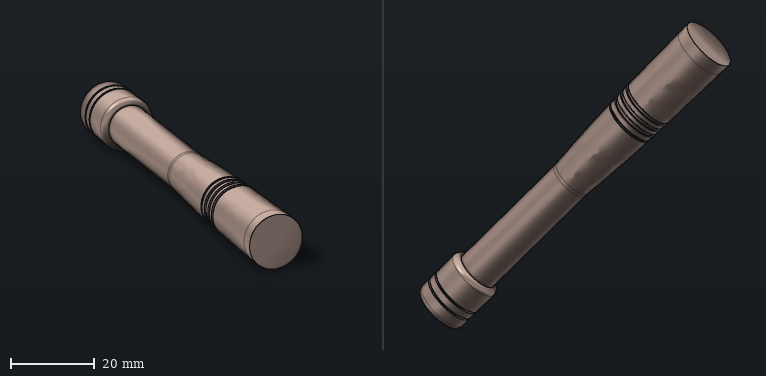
import cadquery as cq
import math

total_length = 97.0
full_radius = 7.0

head_length = 14.0
head_radius = 6.85
head_fillet = 1.4

shaft_radius = 5.25
shaft_blend_radius = 11.0
front_arc_radius = 400.0
rear_arc_radius = 1500.0
joint_x = 70.25
joint_radius = 6.53
end_band_length = 3.2

groove_floor_radius = 6.1
narrow_groove_width = 0.5
wide_groove_width = 0.9
head_groove_starts = (3.95, 6.25)
grip_groove_start = 68.5
grip_groove_pitch = 2.05
wide_groove_count = 3


def arc_point(center_x, center_z, radius, tilt):
    """Point where an arc climbs along X at the tilt angle; a negative radius makes it concave."""
    return (center_x - radius * math.sin(tilt), center_z + radius * math.cos(tilt))


def turned_body():
    """Revolve the outer profile without grooves; Z of the profile is the radius."""
    grip_end = total_length - end_band_length

    chord_run = grip_end - joint_x
    chord_rise = full_radius - joint_radius
    chord_tilt = math.atan2(chord_rise, chord_run)
    half_sweep = math.asin(math.hypot(chord_run, chord_rise) / (2 * rear_arc_radius))
    joint_tilt = chord_tilt + half_sweep
    rear_center_x = joint_x + rear_arc_radius * math.sin(joint_tilt)
    rear_center_z = joint_radius - rear_arc_radius * math.cos(joint_tilt)
    rear_middle = arc_point(rear_center_x, rear_center_z, rear_arc_radius, chord_tilt)

    front_center_x = joint_x + front_arc_radius * math.sin(joint_tilt)
    front_center_z = joint_radius - front_arc_radius * math.cos(joint_tilt)

    blend_center_z = shaft_radius + shaft_blend_radius
    rise = blend_center_z - front_center_z
    blend_tilt = math.acos(rise / (front_arc_radius + shaft_blend_radius))
    blend_start = front_center_x - rise * math.tan(blend_tilt)
    blend_middle = arc_point(blend_start, blend_center_z, -shaft_blend_radius, blend_tilt / 2)
    blend_end = arc_point(blend_start, blend_center_z, -shaft_blend_radius, blend_tilt)
    front_middle_tilt = (blend_tilt + joint_tilt) / 2
    front_middle = arc_point(front_center_x, front_center_z, front_arc_radius, front_middle_tilt)

    rim_radius = head_radius - head_fillet
    corner = head_fillet * math.sqrt(0.5)
    head_flat_end = head_length - head_fillet

    profile = (
        cq.Workplane("XZ")
        .lineTo(0, rim_radius)
        .threePointArc((head_fillet - corner, rim_radius + corner), (head_fillet, head_radius))
        .lineTo(head_flat_end, head_radius)
        .threePointArc((head_flat_end + corner, rim_radius + corner), (head_length, rim_radius))
        .lineTo(head_length, shaft_radius)
        .lineTo(blend_start, shaft_radius)
        .threePointArc(blend_middle, blend_end)
        .threePointArc(front_middle, (joint_x, joint_radius))
        .threePointArc(rear_middle, (grip_end, full_radius))
        .lineTo(total_length, full_radius)
        .lineTo(total_length, 0)
        .close()
    )
    return profile.revolve(360, (0, 0, 0), (1, 0, 0))


def ring_groove(start, width):
    """Ring that removes everything outside the groove floor over the given width."""
    clearance_radius = full_radius + 1.0
    return (
        cq.Workplane("YZ", origin=(start, 0, 0))
        .circle(clearance_radius)
        .circle(groove_floor_radius)
        .extrude(width)
    )


result = turned_body()

for groove_start in head_groove_starts:
    result = result.cut(ring_groove(groove_start, narrow_groove_width))

result = result.cut(ring_groove(grip_groove_start, narrow_groove_width))
for index in range(1, wide_groove_count + 1):
    groove_start = grip_groove_start + index * grip_groove_pitch
    result = result.cut(ring_groove(groove_start, wide_groove_width))